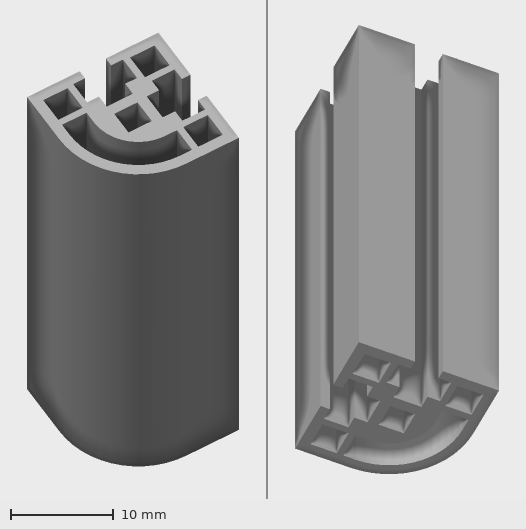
import cadquery as cq
import math

length = 47.5
side = 15.0
corner_radius = 9.02
half = side / 2

wall = 1.15
cell_size = 2.8
center_cell_size = 2.65

slot_mouth = 3.0
slot_width = 5.7
lip_thickness = 1.0
undercut_depth = 3.6
slot_depth = 5.05

arc_x = half - corner_radius
arc_y = -arc_x
channel_outer_radius = corner_radius - wall
channel_inner_radius = channel_outer_radius - cell_size
channel_end = slot_width / 2


def ring_point(radius):
    """Point halfway round the rounded corner at the given radius."""
    offset = radius * math.sqrt(0.5)
    return arc_x + offset, arc_y - offset


def prism(width, height, x, y):
    """Full-length rectangular bar centered at (x, y)."""
    return cq.Workplane("XY").center(x, y).rect(width, height).extrude(length)


def make_body():
    return (
        cq.Workplane("XY")
        .moveTo(-half, -half)
        .lineTo(arc_x, -half)
        .threePointArc(ring_point(corner_radius), (half, arc_y))
        .lineTo(half, half)
        .lineTo(-half, half)
        .close()
        .extrude(length)
    )


def make_top_slot():
    """Slot opening to +Y: narrow throat with a wider undercut behind the lips."""
    undercut_height = undercut_depth - lip_thickness
    undercut_y = half - lip_thickness - undercut_height / 2
    throat = prism(slot_mouth, slot_depth, 0, half - slot_depth / 2)
    return throat.union(prism(slot_width, undercut_height, 0, undercut_y))


def make_channel():
    outer = channel_outer_radius
    inner = channel_inner_radius
    return (
        cq.Workplane("XY")
        .moveTo(-channel_end, arc_y - outer)
        .lineTo(arc_x, arc_y - outer)
        .threePointArc(ring_point(outer), (arc_x + outer, arc_y))
        .lineTo(arc_x + outer, channel_end)
        .lineTo(arc_x + inner, channel_end)
        .lineTo(arc_x + inner, arc_y)
        .threePointArc(ring_point(inner), (arc_x, arc_y - inner))
        .lineTo(-channel_end, arc_y - inner)
        .close()
        .extrude(length)
    )


result = make_body()

cell_offset = half - wall - cell_size / 2
for sign_x, sign_y in [(-1, 1), (1, 1), (-1, -1)]:
    result = result.cut(prism(cell_size, cell_size, sign_x * cell_offset, sign_y * cell_offset))
result = result.cut(prism(center_cell_size, center_cell_size, 0, 0))

for angle in (0, 90):
    result = result.cut(make_top_slot().rotate((0, 0, 0), (0, 0, 1), angle))

result = result.cut(make_channel())

result = result.translate((0, 0, -length / 2))